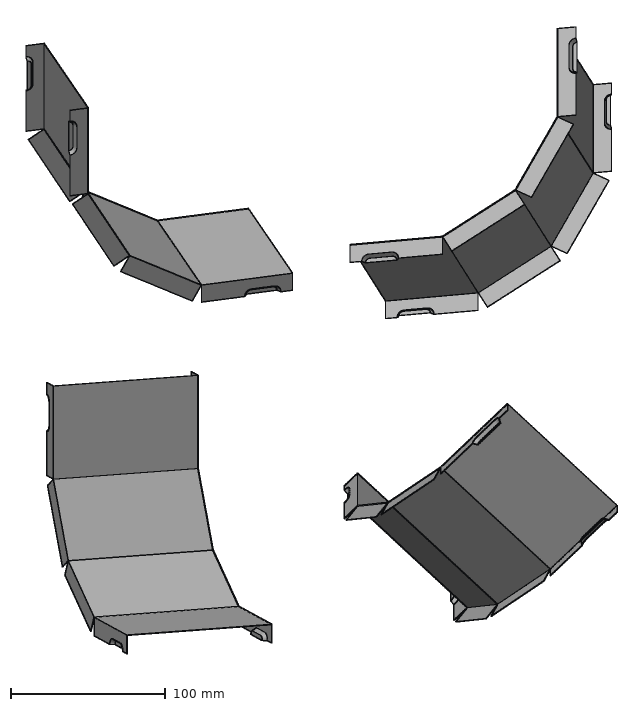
import math

import cadquery as cq

WIDTH = 100.0
OVERALL = 149.95
THICKNESS = 0.5
FLANGE_HEIGHT = 12.5
END_LENGTH = 61.35
BEND_ANGLE = math.radians(30)

DIMPLE_FROM_END = 20.0
DIMPLE_STRAIGHT = 15.0
DIMPLE_RADIUS = 4.5
DIMPLE_DEPTH = 3.0
DIMPLE_TAPER = 30.0

SPAN = OVERALL - FLANGE_HEIGHT
BEND_START = SPAN - END_LENGTH
MIDDLE = BEND_START * math.sin(BEND_ANGLE) / (math.sin(BEND_ANGLE) + math.cos(BEND_ANGLE))

WEB_PATH = [(SPAN, 0), (BEND_START, 0), (MIDDLE, MIDDLE), (0, BEND_START), (0, SPAN)]
PANELS = list(zip(WEB_PATH[:-1], WEB_PATH[1:]))


def direction(start, end):
    """Unit vector in (y, z) from start to end."""
    length = math.dist(start, end)
    return (end[0] - start[0]) / length, (end[1] - start[1]) / length


def outward(start, end):
    """Unit normal in (y, z) of a panel, pointing to its flange side."""
    along = direction(start, end)
    return -along[1], along[0]


def shifted(point, vector, distance):
    """Point moved along a unit vector."""
    return point[0] + vector[0] * distance, point[1] + vector[1] * distance


def plate(outline, x_start, x_size):
    """Extrude a (y, z) outline along X."""
    return cq.Workplane("YZ", origin=(x_start, 0, 0)).polyline(outline).close().extrude(x_size)


def make_web():
    """Folded sheet across the full width, with mitred bends."""
    normals = [outward(start, end) for start, end in PANELS]
    miter = THICKNESS / math.cos(BEND_ANGLE / 2)
    outer = [shifted(WEB_PATH[0], normals[0], THICKNESS)]
    for corner, before, after in zip(WEB_PATH[1:-1], normals[:-1], normals[1:]):
        bisector = direction((0, 0), (before[0] + after[0], before[1] + after[1]))
        outer.append(shifted(corner, bisector, miter))
    outer.append(shifted(WEB_PATH[-1], normals[-1], THICKNESS))
    return plate(WEB_PATH + outer[::-1], -WIDTH / 2, WIDTH)


def panel_outline(start, end, normal):
    """Rectangle covering one panel's flange, from the concave web face to the free edge."""
    return [start, end, shifted(end, normal, FLANGE_HEIGHT), shifted(start, normal, FLANGE_HEIGHT)]


def tapered_slot(center, along, side, radius, depth):
    """Slot-shaped block narrowing from the outer face of a flange toward the inside."""
    plane = cq.Plane(
        origin=(side * WIDTH / 2, *center),
        xDir=(0, *along),
        normal=(-side, 0, 0),
    )
    length = DIMPLE_STRAIGHT + 2 * radius
    return cq.Workplane(plane).slot2D(length, 2 * radius).extrude(depth, taper=DIMPLE_TAPER)


def add_dimple(body, outer_end, inner_end, normal, side):
    """Press half a tapered slot into an end flange, open at the free edge."""
    along = direction(outer_end, inner_end)
    center = shifted(shifted(outer_end, along, DIMPLE_FROM_END), normal, FLANGE_HEIGHT)
    slope = math.radians(DIMPLE_TAPER)
    shell_radius = DIMPLE_RADIUS + THICKNESS / math.cos(slope)
    shell = tapered_slot(center, along, side, shell_radius, DIMPLE_DEPTH + THICKNESS)
    recess = tapered_slot(center, along, side, DIMPLE_RADIUS, DIMPLE_DEPTH)
    panel_space = plate(panel_outline(outer_end, inner_end, normal), -WIDTH / 2, WIDTH)
    return body.union(shell.intersect(panel_space)).cut(recess)


result = make_web()

for panel_start, panel_end in PANELS:
    panel_normal = outward(panel_start, panel_end)
    flange_outline = panel_outline(panel_start, panel_end, panel_normal)
    for flange_x in (-WIDTH / 2, WIDTH / 2 - THICKNESS):
        result = result.union(plate(flange_outline, flange_x, THICKNESS))

for outer_end, inner_end, normal in (
    (WEB_PATH[0], WEB_PATH[1], outward(*PANELS[0])),
    (WEB_PATH[-1], WEB_PATH[-2], outward(*PANELS[-1])),
):
    for side in (-1, 1):
        result = add_dimple(result, outer_end, inner_end, normal, side)